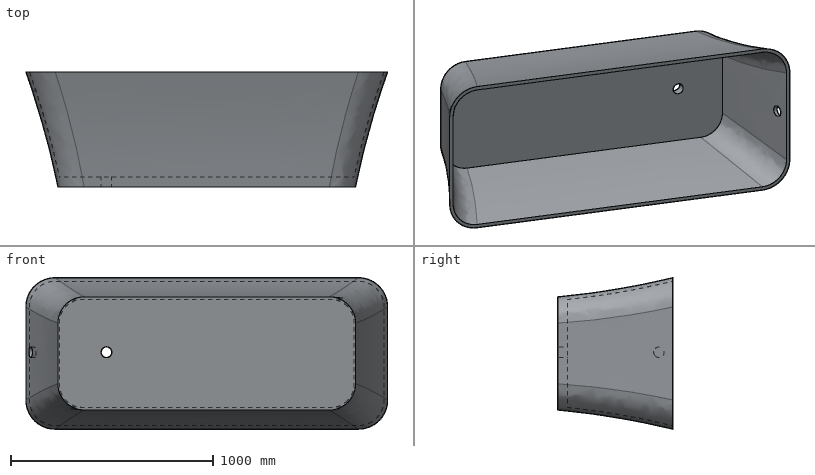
import cadquery as cq

RIM_LENGTH = 1790.0
RIM_WIDTH = 750.0
DEPTH = 570.0
BASE_LENGTH = 1472.0
BASE_WIDTH = 560.0
RIM_CORNER_RADIUS = 145.0
BASE_CORNER_RADIUS = 130.0

WALL_BOW = 11.0

WALL_THICKNESS = 18.0
FLOOR_THICKNESS = 50.0

DRAIN_DIAMETER = 52.0
DRAIN_X = -496.0
OVERFLOW_DIAMETER = 52.0
OVERFLOW_BELOW_RIM = 69.0
HOLE_Z = 6.0

BASE_Y = -DEPTH / 2
RIM_Y = DEPTH / 2


def section(y, inset):
    """Rounded rectangle across the tub at station y, moved inward by `inset`."""
    height = (y - BASE_Y) / DEPTH
    shrink = 2 * (inset + 4 * WALL_BOW * height * (1 - height))
    length = BASE_LENGTH + (RIM_LENGTH - BASE_LENGTH) * height - shrink
    width = BASE_WIDTH + (RIM_WIDTH - BASE_WIDTH) * height - shrink
    radius = BASE_CORNER_RADIUS + (RIM_CORNER_RADIUS - BASE_CORNER_RADIUS) * height - inset
    outline = cq.Sketch().rect(length, width).vertices().fillet(radius)
    return outline.moved(cq.Location(cq.Vector(0, 0, -y)))


def flared_body(bottom_y, inset):
    """Solid lofted smoothly through the sections at the bottom, the middle and the rim."""
    middle_y = (bottom_y + RIM_Y) / 2
    sections = [section(y, inset) for y in (bottom_y, middle_y, RIM_Y)]
    return cq.Workplane("XZ").placeSketch(*sections).loft()


def drain():
    """Cutter for the round drain through the floor."""
    start = cq.Vector(DRAIN_X, BASE_Y, HOLE_Z)
    cutter = cq.Solid.makeCylinder(DRAIN_DIAMETER / 2, DEPTH, start, cq.Vector(0, 1, 0))
    return cq.Workplane(cutter)


def overflow():
    """Cutter for the round overflow hole through the -X end wall, just below the rim."""
    start = cq.Vector(-RIM_LENGTH / 2, RIM_Y - OVERFLOW_BELOW_RIM, HOLE_Z)
    cutter = cq.Solid.makeCylinder(OVERFLOW_DIAMETER / 2, RIM_LENGTH / 2, start, cq.Vector(1, 0, 0))
    return cq.Workplane(cutter)


shell = flared_body(BASE_Y, 0).cut(flared_body(BASE_Y + FLOOR_THICKNESS, WALL_THICKNESS))
result = shell.cut(drain()).cut(overflow())